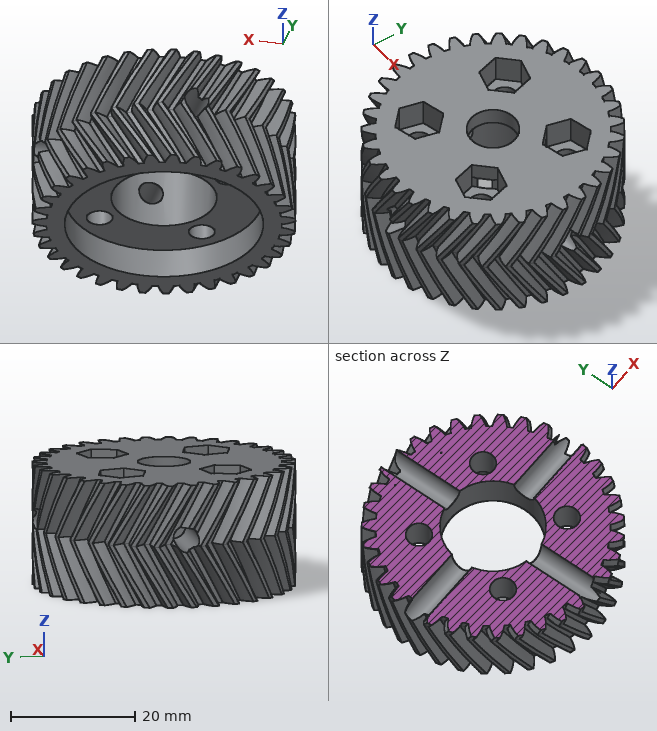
import cadquery as cq
import math

face_width = 20.0
tooth_count = 35
tip_radius = 21.2
pitch_radius = 20.2
root_radius = 18.95
normal_pressure_angle = math.radians(20)
helix_angle = math.radians(30)

web_thickness = 3.0
bore_diameter = 8.5
chamber_diameter = 17.0
recess_diameter = 32.0
recess_depth = 5.0

bolt_spacing = 17.0
bolt_angles = (45, 135, 225, 315)
bolt_hole_diameter = 4.2
nut_across_flats = 7.2
nut_pocket_depth = 5.0

cross_hole_diameter = 4.0

half_width = face_width / 2
web_bottom = face_width - web_thickness
cross_hole_height = (web_bottom + recess_depth) / 2
pressure_angle = math.atan(math.tan(normal_pressure_angle) / math.cos(helix_angle))
base_radius = pitch_radius * math.cos(pressure_angle)
half_twist = math.degrees(half_width * math.tan(helix_angle) / pitch_radius)


def polar_point(radius, angle):
    return (radius * math.cos(angle), radius * math.sin(angle))


def involute(pressure):
    return math.tan(pressure) - pressure


def tooth_half_angle(radius):
    """Half the angle that an involute tooth spans at a radius outside the base circle."""
    pressure = math.acos(base_radius / radius)
    return math.pi / (2 * tooth_count) + involute(pressure_angle) - involute(pressure)


def tooth_outline():
    """Closed gear outline with one tooth centred on +Y."""
    pitch_angle = 2 * math.pi / tooth_count
    root_half = tooth_half_angle(root_radius)
    flank_half = tooth_half_angle(pitch_radius)
    tip_half = tooth_half_angle(tip_radius)
    outline = cq.Workplane("XY").moveTo(*polar_point(root_radius, math.pi / 2 - root_half))
    for tooth in range(tooth_count):
        centre = math.pi / 2 + tooth * pitch_angle
        outline = outline.threePointArc(
            polar_point(pitch_radius, centre - flank_half),
            polar_point(tip_radius, centre - tip_half),
        )
        outline = outline.threePointArc(
            polar_point(tip_radius, centre),
            polar_point(tip_radius, centre + tip_half),
        )
        outline = outline.threePointArc(
            polar_point(pitch_radius, centre + flank_half),
            polar_point(root_radius, centre + root_half),
        )
        outline = outline.threePointArc(
            polar_point(root_radius, centre + pitch_angle / 2),
            polar_point(root_radius, centre + pitch_angle - root_half),
        )
    return outline.close()


def herringbone_blank():
    """Two helical halves of opposite hand that meet at mid-width."""
    lower = tooth_outline().twistExtrude(half_width, -half_twist)
    upper = lower.mirror("XY", (0, 0, half_width))
    return lower.union(upper)


def hub_cavity():
    """Bore, chamber and bottom recess, all on the gear axis."""
    recess = cq.Workplane("XY").circle(recess_diameter / 2).extrude(recess_depth)
    chamber = cq.Workplane("XY").circle(chamber_diameter / 2).extrude(web_bottom)
    bore = cq.Workplane("XY").circle(bore_diameter / 2).extrude(face_width)
    return recess.union(chamber).union(bore)


def bolt_cutter(angle):
    """Bolt hole with a hexagonal nut pocket whose flats face the gear axis."""
    bolt_radius = bolt_spacing / math.sqrt(2)
    flat_to_corner_angle = 30
    nut_across_corners = nut_across_flats / math.cos(math.radians(flat_to_corner_angle))
    hole = cq.Workplane("XY").circle(bolt_hole_diameter / 2).extrude(face_width)
    pocket = (
        cq.Workplane("XY", origin=(0, 0, face_width - nut_pocket_depth))
        .polygon(6, nut_across_corners)
        .extrude(nut_pocket_depth)
        .rotate((0, 0, 0), (0, 0, 1), flat_to_corner_angle)
    )
    cutter = hole.union(pocket).translate((bolt_radius, 0, 0))
    return cutter.rotate((0, 0, 0), (0, 0, 1), angle)


def cross_hole(plane):
    """Round hole right across the gear, square to the given plane."""
    return (
        cq.Workplane(plane, origin=(0, 0, cross_hole_height))
        .circle(cross_hole_diameter / 2)
        .extrude(tip_radius, both=True)
    )


result = herringbone_blank().cut(hub_cavity())
for bolt_angle in bolt_angles:
    result = result.cut(bolt_cutter(bolt_angle))
for hole_plane in ("XZ", "YZ"):
    result = result.cut(cross_hole(hole_plane))